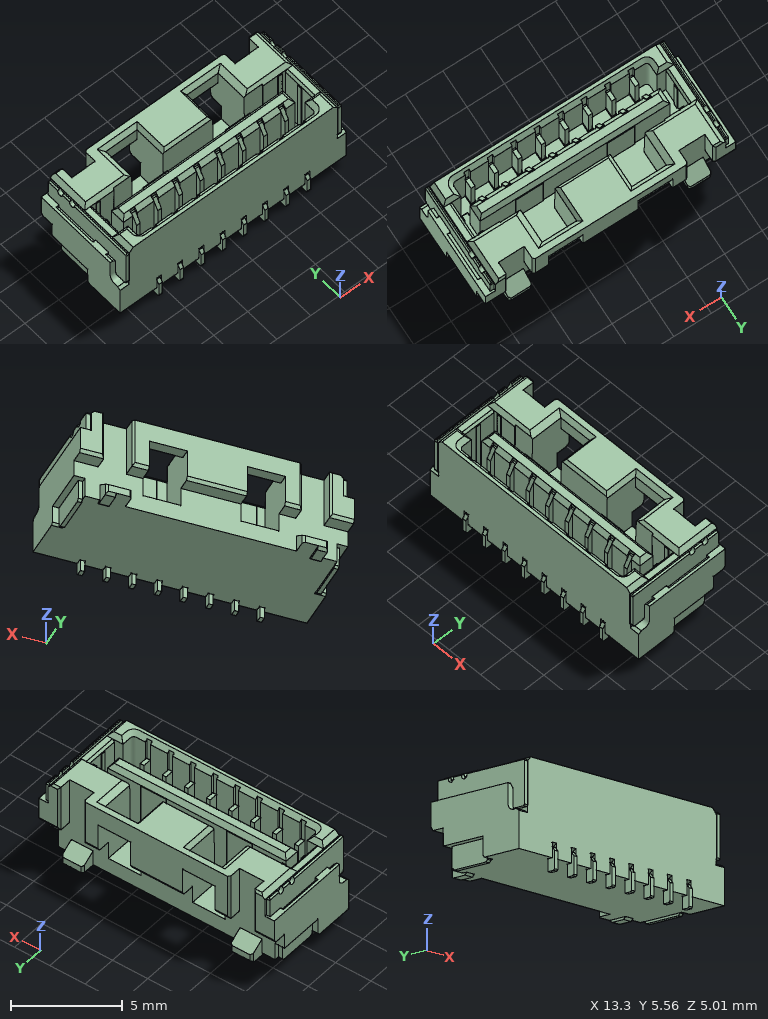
import cadquery as cq

length = 13.35
half_length = length / 2
rear_y = 5.45
top_z = 4.42
lower_rear_y = 4.7
rear_overhang_z = 1.84
rear_edge_rise = 0.17
rear_edge_run = 0.11
upper_half_length = 6.14
shoulder_z = 3.19
end_chamfer = 0.24
rim_chamfer = 0.21
rim_depth = 0.24
rear_rim_chamfer = 0.11

corner_notch_y = 0.68
corner_notch_z = 1.9
corner_notch_radius = 0.32
corner_lip_drop = 0.12
corner_lip_run = 0.16

floor_z = 0.88
cavity_half_length = 5.7
cavity_front_y = 1.16
cavity_rear_y = 3.07
ledge_z = top_z - rim_depth
ledge_width = 0.32
ledge_bevel = upper_half_length - ledge_width - cavity_half_length
pocket_half_length = 5.22
pocket_front_y = 0.43
pocket_corner_radius = 0.19
pocket_chamfer = 0.24
trough_half_length = 4.86
trough_z = floor_z - 0.13

shoulder_bevel = 0.17
shoulder_bevels_y = ((2.05, 4.58), (corner_notch_y, cavity_front_y))

rib_projection = 0.05
rear_rib_x = (5.25, 5.47)
end_rib_y = (1.92, 2.16)
guide_half_length = 4.39
guide_draft = 0.07

window_inner_x = 1.47
window_outer_x = 3.31
window_rear_y = 4.91
window_lintel_z = 3.43
window_inner_bevel = 0.19
window_outer_bevel = 0.32

tongue_half_length = 5.06
tongue_front_y = 1.65
tongue_rear_y = 2.5
tongue_top_z = 4.05
tongue_chamfer = 0.21
tongue_chamfer_height = 0.25
tongue_pad_x = (1.71, 3.16)
tongue_pad_height = 0.04

contact_count = 8
contact_pitch = 1.25
contact_width = 0.21
contact_slot_width = 0.28
contact_slot_rear_y = 1.85
arm_recess_y = 1.31
arm_foot_y = 1.43
arm_knee_z = 3.26
arm_tip_y = 1.76
arm_tip_z = 3.86
post_y = (0.31, 0.85)
post_bevel = 0.1
post_recess_y = (0.31, 0.88)
contact_recess_z = 0.67
post_top_z = 3.2
tail_front_y = -0.11
tail_rear_y = 0.3
tail_bottom_z = -0.59
tail_top_z = 0.55
tail_slot_mouth_z = 0.73
tail_bevel = 0.07
tail_shoulder_z = 0.33
tail_shoulder_y = 0.05

plate_thickness = 0.21
plate_outer_x = upper_half_length + plate_thickness
plate_front_y = -0.04
plate_rear_y = 5.34
plate_bottom_z = 2.05
plate_top_z = 4.26
plate_corner = 0.27
plate_front_bevel = 0.07
plate_top_bevel = (0.1, 0.05)
plate_notches_y = (3.7, 4.51)
plate_notch_radius = 0.16
plate_notch_depth = 0.25
foot_recess_y = (2.24, lower_rear_y)
foot_recess_z = 1.0
foot_rear_y = 4.45
foot_bottom_z = -0.12
foot_chamfer = 0.11

tab_x = (4.17, 5.41)
tab_foot_inner_x = 4.91
tab_front_y = foot_rear_y
tab_heel = 0.16
tab_rear_z = 0.37
tab_root_z = 0.85
tab_notch_x = (4.13, 5.5)
tab_notch_mouth = 0.11
tab_corner = 0.11


def block(x, y, z):
    """Box spanning the given (low, high) ranges."""
    size = (x[1] - x[0], y[1] - y[0], z[1] - z[0])
    return cq.Workplane("XY").box(*size, centered=False).translate((x[0], y[0], z[0]))


def side_profile(points, x):
    """Extrude a closed (Y, Z) outline over an X range."""
    return cq.Workplane("YZ").polyline(points).close().extrude(x[1] - x[0]).translate((x[0], 0, 0))


def front_profile(points, y):
    """Extrude a closed (X, Z) outline over a Y range."""
    return cq.Workplane("XZ").polyline(points).close().extrude(y[0] - y[1]).translate((0, y[0], 0))


def both_ends(solid):
    """The solid together with its mirror image across X = 0."""
    return solid.union(solid.mirror("YZ"))


def make_housing():
    outline = [
        (0, 0),
        (lower_rear_y, 0),
        (lower_rear_y, rear_overhang_z),
        (rear_y - rear_edge_run, rear_overhang_z),
        (rear_y, rear_overhang_z + rear_edge_rise),
        (rear_y, top_z),
        (0, top_z),
    ]
    return side_profile(outline, (-half_length, half_length))


def make_end_cut():
    """Material removed outside the upper housing and under the foot of the plate."""
    outside = (upper_half_length, half_length)
    shoulder = block(outside, (0, rear_y), (shoulder_z, top_z))
    top_edge = front_profile(
        [
            (upper_half_length, top_z - end_chamfer),
            (upper_half_length, top_z),
            (upper_half_length - end_chamfer, top_z),
        ],
        (0, rear_y),
    )
    notch = block(outside, (-0.13, corner_notch_y), (corner_notch_z, top_z))
    notch = notch.edges("|X and >Y and <Z").fillet(corner_notch_radius)
    lip = side_profile(
        [(0, corner_notch_z), (0, corner_notch_z - corner_lip_drop), (corner_lip_run, corner_notch_z)],
        outside,
    )
    foot_recess = block(outside, foot_recess_y, (0, foot_recess_z))
    recess_mouth = side_profile(
        [
            (foot_recess_y[0] - foot_chamfer, 0),
            (foot_recess_y[0], foot_chamfer),
            (foot_recess_y[0], 0),
        ],
        outside,
    )
    cut = shoulder.union(top_edge).union(notch).union(lip).union(foot_recess).union(recess_mouth)
    for bevel_y in shoulder_bevels_y:
        bevel = front_profile(
            [
                (plate_outer_x, shoulder_z),
                (plate_outer_x, shoulder_z - shoulder_bevel),
                (plate_outer_x + shoulder_bevel, shoulder_z),
            ],
            bevel_y,
        )
        cut = cut.union(bevel)
    return both_ends(cut)


def make_cavity():
    rim = side_profile(
        [
            (cavity_front_y, ledge_z),
            (cavity_rear_y, ledge_z),
            (cavity_rear_y + rim_chamfer, top_z),
            (cavity_front_y - rim_chamfer, top_z),
        ],
        (-half_length, half_length),
    )
    ledge_half_length = upper_half_length - ledge_width
    well = front_profile(
        [
            (-cavity_half_length, floor_z),
            (cavity_half_length, floor_z),
            (cavity_half_length, ledge_z - ledge_bevel),
            (ledge_half_length, ledge_z),
            (-ledge_half_length, ledge_z),
            (-cavity_half_length, ledge_z - ledge_bevel),
        ],
        (cavity_front_y, cavity_rear_y),
    )
    trough = block(
        (-trough_half_length, trough_half_length),
        (cavity_front_y, tongue_front_y),
        (trough_z, floor_z),
    )
    pocket_y = (pocket_front_y, cavity_front_y)
    pocket = block((-pocket_half_length, pocket_half_length), pocket_y, (trough_z, top_z))
    pocket = pocket.edges("|Z and <Y").fillet(pocket_corner_radius)
    pocket_rim = (
        cq.Workplane("XY", origin=(0, 0, top_z - pocket_chamfer))
        .add(pocket.faces(">Z").wires().translate((0, 0, -pocket_chamfer)))
        .toPending()
        .extrude(pocket_chamfer, taper=-45)
    )
    guide_relief_z = ledge_z + guide_draft * rim_depth / rim_chamfer
    guide_relief = side_profile(
        [
            (cavity_rear_y, floor_z),
            (cavity_rear_y + guide_draft, guide_relief_z),
            (cavity_rear_y, guide_relief_z),
        ],
        (-guide_half_length, guide_half_length),
    )
    cavity = rim.union(well).union(trough).union(guide_relief).union(pocket).union(pocket_rim)
    rear_rib = block(rear_rib_x, (cavity_rear_y - rib_projection, cavity_rear_y), (floor_z, ledge_z))
    end_rib = block(
        (cavity_half_length - rib_projection, cavity_half_length),
        end_rib_y,
        (floor_z, ledge_z - ledge_bevel),
    )
    return cavity.cut(both_ends(rear_rib.union(end_rib)))


def make_windows():
    opening_x = (window_inner_x, window_outer_x)
    shaft = block(opening_x, (cavity_rear_y, window_rear_y), (floor_z, top_z))
    doorway = block(opening_x, (window_rear_y, rear_y), (floor_z, window_lintel_z))
    bevel = (
        cq.Workplane("XY", origin=(0, 0, ledge_z))
        .polyline(
            [
                (window_inner_x, cavity_rear_y),
                (window_outer_x, cavity_rear_y),
                (window_outer_x, window_rear_y),
                (window_inner_x, window_rear_y),
            ]
        )
        .close()
        .workplane(offset=rim_depth)
        .polyline(
            [
                (window_inner_x - window_inner_bevel, cavity_rear_y),
                (window_outer_x + window_outer_bevel, cavity_rear_y),
                (window_outer_x + window_outer_bevel, window_rear_y + rim_chamfer),
                (window_inner_x - window_inner_bevel, window_rear_y + rim_chamfer),
            ]
        )
        .close()
        .loft(ruled=True)
    )
    return both_ends(shaft.union(doorway).union(bevel))


def make_tab_notches():
    inner_x, outer_x = tab_notch_x
    notch = (
        cq.Workplane("XY")
        .polyline(
            [
                (inner_x, lower_rear_y),
                (outer_x, lower_rear_y),
                (outer_x, rear_y - tab_notch_mouth),
                (outer_x + tab_notch_mouth, rear_y),
                (inner_x - tab_notch_mouth, rear_y),
                (inner_x, rear_y - tab_notch_mouth),
            ]
        )
        .close()
        .extrude(top_z)
    )
    rear_edge = side_profile(
        [(rear_y - rear_rim_chamfer, top_z), (rear_y, top_z), (rear_y, top_z - rear_rim_chamfer)],
        (outer_x, upper_half_length),
    )
    return both_ends(notch.union(rear_edge))


def make_tongue():
    tongue = block(
        (-tongue_half_length, tongue_half_length),
        (tongue_front_y, tongue_rear_y),
        (trough_z, tongue_top_z),
    )
    tongue = tongue.faces(">Z").chamfer(tongue_chamfer_height, tongue_chamfer)
    pad = block(
        tongue_pad_x,
        (tongue_rear_y, tongue_rear_y + tongue_pad_height),
        (floor_z, tongue_top_z - tongue_chamfer_height),
    )
    return tongue.union(both_ends(pad))


def contact_positions():
    return [(i - (contact_count - 1) / 2) * contact_pitch for i in range(contact_count)]


def make_contact_cut(x):
    """Clearance for one contact: tongue slot, floor recess and tail slot."""
    span = (x - contact_slot_width / 2, x + contact_slot_width / 2)
    tongue_slot = block(span, (arm_recess_y, contact_slot_rear_y), (contact_recess_z, tongue_top_z))
    recess = block(span, post_recess_y, (contact_recess_z, top_z))
    tail_slot = side_profile(
        [(0, 0), (0, tail_slot_mouth_z), (tail_rear_y, tail_top_z), (tail_rear_y, 0)],
        span,
    )
    return tongue_slot.union(recess).union(tail_slot)


def make_contact(x):
    """Sprung arm in the tongue, post behind the front wall and soldered tail."""
    span = (x - contact_width / 2, x + contact_width / 2)
    arm = side_profile(
        [
            (arm_foot_y, contact_recess_z),
            (arm_foot_y, arm_knee_z),
            (arm_tip_y, arm_tip_z),
            (contact_slot_rear_y, arm_tip_z),
            (contact_slot_rear_y, contact_recess_z),
        ],
        span,
    )
    post = block(span, post_y, (contact_recess_z, post_top_z))
    post = post.edges("|X and <Y and >Z").chamfer(post_bevel)
    tail = side_profile(
        [
            (tail_front_y + tail_bevel, tail_bottom_z),
            (tail_front_y, tail_bottom_z + tail_bevel),
            (tail_front_y, tail_shoulder_z),
            (tail_shoulder_y, tail_top_z),
            (tail_rear_y, tail_top_z),
            (tail_rear_y, tail_bottom_z),
        ],
        span,
    )
    return arm.union(post).union(tail)


def make_plates():
    plate_x = (upper_half_length, plate_outer_x)
    plate = block(plate_x, (plate_front_y, plate_rear_y), (plate_bottom_z, plate_top_z))
    plate = plate.edges("|X and >Y and <Z").fillet(plate_corner)
    plate = plate.edges("|X and <Y and <Z").chamfer(plate_front_bevel)
    plate = plate.faces(">Z").chamfer(*plate_top_bevel)
    for y in plate_notches_y:
        round_z = plate_top_z - plate_notch_depth + plate_notch_radius
        slot = block(plate_x, (y - plate_notch_radius, y + plate_notch_radius), (round_z, plate_top_z))
        bottom = cq.Workplane("YZ", origin=(upper_half_length, y, round_z))
        bottom = bottom.circle(plate_notch_radius).extrude(plate_thickness)
        plate = plate.cut(slot).cut(bottom)
    foot = block(plate_x, (foot_recess_y[0], foot_rear_y), (foot_bottom_z, foot_recess_z))
    foot = foot.edges("|X and <Z").chamfer(foot_chamfer)
    return both_ends(plate.union(foot))


def make_tabs():
    outline = [
        (tab_front_y, 0),
        (tab_front_y + tab_corner, foot_bottom_z),
        (rear_y - tab_heel, foot_bottom_z),
        (rear_y, 0),
        (rear_y, tab_rear_z),
        (lower_rear_y, tab_root_z),
        (lower_rear_y, 0),
    ]
    tab = side_profile(outline, tab_x).edges("|Z and >Y").chamfer(tab_corner)
    inner_relief = block((tab_x[0], tab_foot_inner_x), (tab_front_y, rear_y), (foot_bottom_z, 0))
    return both_ends(tab.cut(inner_relief))


result = make_housing().cut(make_end_cut()).cut(make_cavity())
result = result.cut(make_windows()).cut(make_tab_notches())
result = result.union(make_tongue()).union(make_plates()).union(make_tabs())
for contact_x in contact_positions():
    result = result.cut(make_contact_cut(contact_x)).union(make_contact(contact_x))